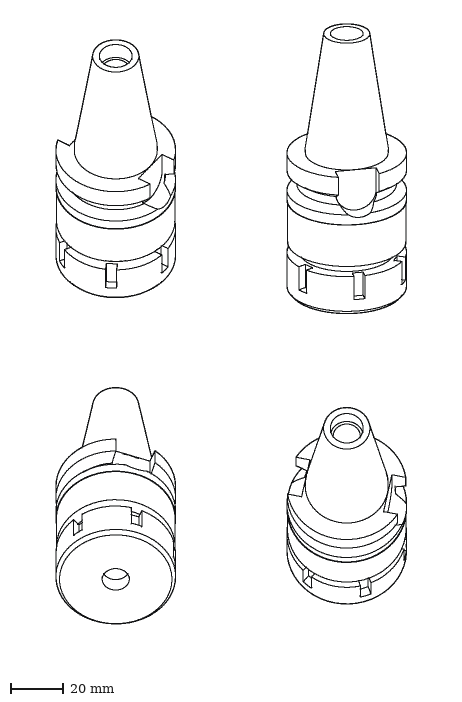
import cadquery as cq

overall_height = 108.4
gauge_height = 60.0
flange_top = 58.1
upper_flange_bottom = 50.6
groove_top = 48.1
groove_bottom = 44.7
lower_flange_top = 42.4
lower_flange_bottom = 38.0
body_bottom = 20.5
nut_top = 16.3

flange_radius = 23.0
gauge_radius = 15.9
taper_slope = 7 / 48
taper_top_radius = gauge_radius - (overall_height - gauge_height) * taper_slope
groove_radius = 19.1
body_radius = 22.8
neck_radius = 18.1
pilot_radius = 6.3
pilot_depth = 6.9
bore_radius = 5.2

keyway_width = 16.0
keyway_floor = 16.0
keyway_bottom = 41.1
keyway_arc_center = keyway_bottom + keyway_width / 2

nut_radius = flange_radius
nut_chamfer_height = 1.6
nut_bottom_radius = 21.6
slot_count = 6
slot_width = 4.2
slot_floor = 19.6
slot_bottom = 6.5
nut_seat = slot_bottom


def make_keyway_cutter():
    """Round-bottomed slot, open at the top and outward, on the +X side."""
    half_width = keyway_width / 2
    return (
        cq.Workplane("YZ", origin=(keyway_floor, 0, 0))
        .moveTo(-half_width, flange_top)
        .lineTo(-half_width, keyway_arc_center)
        .threePointArc((0, keyway_bottom), (half_width, keyway_arc_center))
        .lineTo(half_width, flange_top)
        .close()
        .extrude(flange_radius)
    )


def make_holder():
    """Taper, grooved flange, body and neck, with a stepped bore along the axis."""
    half_section = [
        (bore_radius, nut_seat),
        (neck_radius, nut_seat),
        (neck_radius, body_bottom),
        (body_radius, body_bottom),
        (body_radius, lower_flange_bottom),
        (flange_radius, lower_flange_bottom),
        (flange_radius, lower_flange_top),
        (groove_radius, groove_bottom),
        (groove_radius, groove_top),
        (flange_radius, upper_flange_bottom),
        (flange_radius, flange_top),
        (gauge_radius, flange_top),
        (gauge_radius, gauge_height),
        (taper_top_radius, overall_height),
        (pilot_radius, overall_height),
        (pilot_radius, overall_height - pilot_depth),
        (bore_radius, overall_height - pilot_depth),
    ]
    holder = cq.Workplane("YZ").polyline(half_section).close().revolve(360, (0, 0), (0, 1))
    keyway = make_keyway_cutter()
    for angle in (0, 180):
        holder = holder.cut(keyway.rotate((0, 0, 0), (0, 0, 1), angle))
    return holder


def make_nut():
    """Ring with a seat for the neck, a bottom chamfer and wrench slots open at the top."""
    half_section = [
        (bore_radius, 0),
        (nut_bottom_radius, 0),
        (nut_radius, nut_chamfer_height),
        (nut_radius, nut_top),
        (neck_radius, nut_top),
        (neck_radius, nut_seat),
        (bore_radius, nut_seat),
    ]
    nut = cq.Workplane("YZ").polyline(half_section).close().revolve(360, (0, 0), (0, 1))
    slot = cq.Workplane("XY").box(
        nut_radius, slot_width, nut_top - slot_bottom, centered=(False, True, False)
    ).translate((slot_floor, 0, slot_bottom))
    for index in range(slot_count):
        angle = index * 360 / slot_count
        nut = nut.cut(slot.rotate((0, 0, 0), (0, 0, 1), angle))
    return nut


holder = make_holder()
nut = make_nut()

result = cq.Compound.makeCompound([holder.val(), nut.val()])